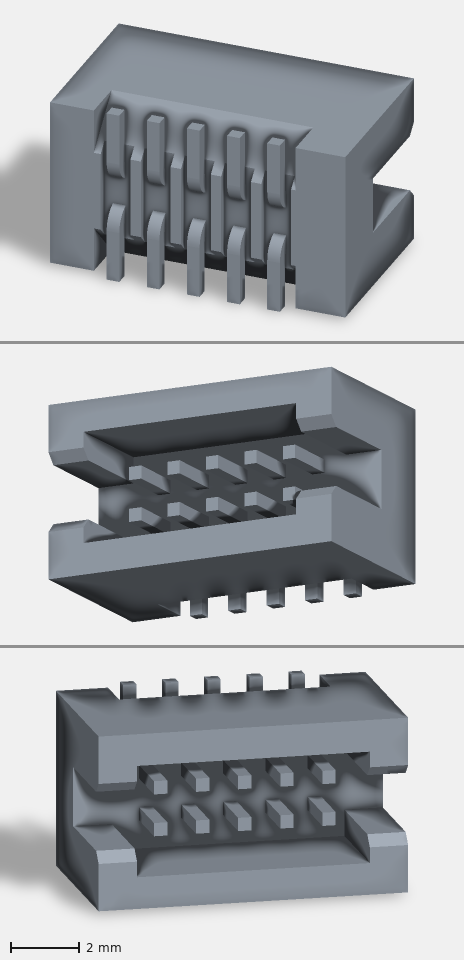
import cadquery as cq

body_length = 9.34
body_depth = 5.4
body_height = 5.305

cavity_depth = 3.2
end_wall = 1.16
long_wall = 0.96

slot_height = 1.79
slot_chamfer = 0.32

relief_length = 6.38
relief_size = 1.4
relief_center_x = -0.09

column_count = 5
pitch = 1.27
column_center_x = -0.06
pin_size = 0.4
pin_row_z = pitch / 2
pin_tip_inset = 1.32
tail_projection = 0.21
tail_half_span = 5.5 / 2
bend_outer_radius = 0.7

channel_width = 0.94
channel_depth = 0.3

column_xs = [column_center_x + (i - (column_count - 1) / 2) * pitch for i in range(column_count)]


def box(center_x, size_x, y_start, size_y, height):
    """Block centred on z = 0 and on center_x, reaching back from y_start."""
    block = cq.Workplane("XY").box(size_x, size_y, height, centered=(True, False, True))
    return block.translate((center_x, y_start, 0))


def extrude_side_profile(profile, center_x, length):
    """Extrude a closed (y, z) profile along X, centred on center_x."""
    return profile.extrude(length / 2, both=True).translate((center_x, 0, 0))


def mirrored_pair(solid):
    """The solid together with its mirror image across z = 0."""
    return solid.union(solid.mirror("XY"))


def make_slot():
    floor_y = body_depth - cavity_depth
    half_height = slot_height / 2
    mouth_half = half_height + slot_chamfer
    chamfer_y = body_depth - slot_chamfer
    outline = [
        (floor_y, -half_height),
        (chamfer_y, -half_height),
        (body_depth, -mouth_half),
        (body_depth, mouth_half),
        (chamfer_y, half_height),
        (floor_y, half_height),
    ]
    return extrude_side_profile(cq.Workplane("YZ").polyline(outline).close(), 0, body_length)


def make_relief():
    top = body_height / 2
    outline = [(0, top), (relief_size, top), (0, top - relief_size)]
    profile = cq.Workplane("YZ").polyline(outline).close()
    return extrude_side_profile(profile, relief_center_x, relief_length)


def make_body():
    body = box(0, body_length, 0, body_depth, body_height)
    cavity_length = body_length - 2 * end_wall
    cavity_height = body_height - 2 * long_wall
    body = body.cut(box(0, cavity_length, body_depth - cavity_depth, cavity_depth, cavity_height))
    body = body.cut(make_slot())
    body = body.cut(mirrored_pair(make_relief()))
    for x in column_xs:
        body = body.cut(box(x, channel_width, 0, channel_depth, body_height))
    return body


def make_upper_pin(x):
    """Pin running forward through the body, then bent up into a solder tail."""
    pin_bottom = pin_row_z - pin_size / 2
    tip_y = body_depth - pin_tip_inset
    tail_front = -tail_projection
    bend_y = tail_front + bend_outer_radius
    bend_z = pin_bottom + bend_outer_radius
    bend_inner_radius = bend_outer_radius - pin_size
    profile = (
        cq.Workplane("YZ")
        .moveTo(tip_y, pin_bottom)
        .lineTo(bend_y, pin_bottom)
        .radiusArc((tail_front, bend_z), bend_outer_radius)
        .lineTo(tail_front, tail_half_span)
        .lineTo(tail_front + pin_size, tail_half_span)
        .lineTo(tail_front + pin_size, bend_z)
        .radiusArc((bend_y, pin_bottom + pin_size), -bend_inner_radius)
        .lineTo(tip_y, pin_bottom + pin_size)
        .close()
    )
    return extrude_side_profile(profile, x, pin_size)


result = make_body()
for column_x in column_xs:
    result = result.union(mirrored_pair(make_upper_pin(column_x)))